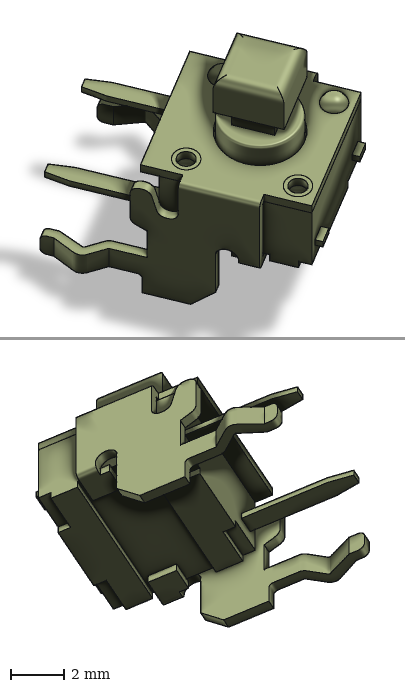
import cadquery as cq
import math


sheet = 0.4
bend_radius = 0.25

housing_side = 6.01
housing_half = housing_side / 2
housing_height = 2.9
pad_drop = 0.34
rib_width = 2.86
pad_inner_x = 1.34
pad_outer_x = 2.48

terminal_pitch = 4.5
terminal_width = 0.72
terminal_thickness = 0.3
terminal_top_z = -1.92
terminal_tip_x = -7.69
terminal_taper_x = -6.65
terminal_tip_width = 0.42
terminal_end_x = 3.31

peg_offset = 2.2
peg_diameter = 1.1
dome_height = 0.41
peg_hole_diameter = 0.75
peg_hole_depth = 0.4
peg_hole_cup = 0.26

collar_diameter = 3.35
collar_height = 1.33
collar_fillet = 0.14
stem_side = 1.69
cap_side = 2.79
cap_bottom_z = 2.42
cap_top_z = 4.25
cap_fillet = 0.5

plate_left_x = -3.74
plate_hole_diameter = 3.5

wall_outer_y = 3.55
wall_inner_y = wall_outer_y - sheet
wall_left_x = -3.97
flange_left_x = -2.08
flange_right_x = 1.12
hook_top_z = -0.31
hook_right_x = -3.19
hook_radius = 0.4
slot_left_x = -2.85
slot_bottom_z = -1.61
hook_bottom_z = -2.28
neck_left_x = -3.3
neck_top_z = -2.58

arm_top_z = -4.07
arm_bottom_z = -5.09
arm_tip_x = -7.48
arm_tip_radius = 0.29
leg_left_x = -3.5
leg_corner_radius = 0.2
leg_bottom_z = -6.1
leg_chamfer_x = -1.58
leg_right_x = -0.6

arm_peak_x = -5.73
arm_outer_root_x = -4.81
arm_inner_root_x = -4.94
arm_root_radius = 0.44
arm_outer_foot_x = -6.93
arm_inner_foot_x = -6.83
arm_tip_inner_y = 3.29
arm_tip_outer_y = arm_tip_inner_y + sheet
arm_peak_outer_y = 4.29
arm_peak_inner_y = 3.8
arm_peak_radius = 0.5

tab_left_x = -0.1
tab_inner_y = 2.2
relief_width = 0.9
relief_center_z = -3.01


def block(x0, x1, y0, y1, z0, z1):
    """Axis-aligned box between the given limits."""
    return cq.Workplane("XY").box(x1 - x0, y1 - y0, z1 - z0, centered=False).translate((x0, y0, z0))


def rounded_outline(plane, corners):
    """Closed outline through (u, v, radius) corners; radius 0 keeps the corner sharp."""
    stretches = []
    for i, (u, v, radius) in enumerate(corners):
        corner = cq.Vector(u, v)
        if radius == 0:
            stretches.append([corner])
            continue
        before = cq.Vector(*corners[i - 1][:2])
        after = cq.Vector(*corners[(i + 1) % len(corners)][:2])
        to_before = (before - corner).normalized()
        to_after = (after - corner).normalized()
        half_angle = to_before.getAngle(to_after) / 2
        setback = radius / math.tan(half_angle)
        bulge = radius / math.sin(half_angle) - radius
        middle = corner + (to_before + to_after).normalized() * bulge
        stretches.append([corner + to_before * setback, middle, corner + to_after * setback])

    def flat(point):
        return (point.x, point.y)

    outline = cq.Workplane(plane).moveTo(*flat(stretches[0][-1]))
    for stretch in stretches[1:] + stretches[:1]:
        outline = outline.lineTo(*flat(stretch[0]))
        if len(stretch) == 3:
            outline = outline.threePointArc(flat(stretch[1]), flat(stretch[2]))
    return outline.close()


def both_sides(half):
    """The -Y copy of a shape together with the +Y original."""
    return half.union(half.mirror("XZ"))


def make_terminal():
    half_width = terminal_width / 2
    half_tip = terminal_tip_width / 2
    return (
        cq.Workplane("XY", origin=(0, terminal_pitch / 2, terminal_top_z))
        .polyline([
            (terminal_end_x, -half_width),
            (terminal_end_x, half_width),
            (terminal_taper_x, half_width),
            (terminal_tip_x, half_tip),
            (terminal_tip_x, -half_tip),
            (terminal_taper_x, -half_width),
        ])
        .close()
        .extrude(-terminal_thickness)
    )


def round_ended_bar(radius, straight, bulge):
    """Round bar on Z from 0 to the height of its straight part, closed by a spherical cap."""
    ball_radius = (radius ** 2 + bulge ** 2) / (2 * bulge)
    top = straight + bulge
    arc_x = radius / 2
    arc_z = top - ball_radius + math.sqrt(ball_radius ** 2 - arc_x ** 2)
    return (
        cq.Workplane("XZ")
        .lineTo(radius, 0)
        .lineTo(radius, straight)
        .threePointArc((arc_x, arc_z), (0, top))
        .close()
        .revolve(360, (0, 0), (0, 1))
    )


def make_peg():
    return cq.Workplane("XY").circle(peg_diameter / 2).extrude(sheet)


def make_domed_peg():
    return round_ended_bar(peg_diameter / 2, sheet, dome_height)


def make_peg_hole():
    """Blind hole starting at the top of a peg, with a rounded bottom."""
    hole = round_ended_bar(peg_hole_diameter / 2, peg_hole_depth, peg_hole_cup)
    return hole.mirror("XY").translate((0, 0, sheet))


def make_housing():
    underside_z = -housing_height
    pad_z = underside_z - pad_drop
    body = block(-housing_half, housing_half, -housing_half, housing_half, underside_z, 0)
    pad = block(pad_inner_x, pad_outer_x, -housing_half, housing_half, pad_z, underside_z)
    rib = block(pad_outer_x, housing_half, -rib_width / 2, rib_width / 2, pad_z, underside_z)
    foot = pad.union(rib)
    body = body.union(foot).union(foot.mirror("YZ"))
    body = body.union(both_sides(make_terminal()))
    for x in (-peg_offset, peg_offset):
        body = body.union(make_domed_peg().translate((x, peg_offset, 0)))
        body = body.union(make_peg().translate((x, -peg_offset, 0)))
        body = body.cut(make_peg_hole().translate((x, -peg_offset, 0)))
    return body


def make_plate():
    plate = block(plate_left_x, housing_half, -housing_half, housing_half, 0, sheet)
    button_hole = cq.Workplane("XY").circle(plate_hole_diameter / 2).extrude(sheet)
    peg_holes = (
        cq.Workplane("XY")
        .rect(2 * peg_offset, 2 * peg_offset, forConstruction=True)
        .vertices()
        .circle(peg_diameter / 2)
        .extrude(sheet)
    )
    return plate.cut(button_hole).cut(peg_holes)


def make_side_sheet():
    """Wall, leg and snap arm on +Y: side outline intersected with the bent plan outline."""
    side = rounded_outline("XZ", [
        (flange_right_x, 0, 0),
        (flange_right_x, -housing_height, 0),
        (leg_right_x, -housing_height, 0),
        (leg_right_x, arm_bottom_z, 0),
        (leg_chamfer_x, leg_bottom_z, 0),
        (leg_left_x, leg_bottom_z, 0),
        (leg_left_x, arm_bottom_z, leg_corner_radius),
        (arm_tip_x, arm_bottom_z, arm_tip_radius),
        (arm_tip_x, arm_top_z, arm_tip_radius),
        (neck_left_x, arm_top_z, 0),
        (neck_left_x, neck_top_z, 0),
        (wall_left_x, hook_bottom_z, hook_radius),
        (wall_left_x, hook_top_z, hook_radius),
        (hook_right_x, hook_top_z, hook_radius),
        (slot_left_x, slot_bottom_z, hook_radius),
        (flange_left_x, slot_bottom_z, hook_radius),
        (flange_left_x, 0, 0),
    ]).extrude(-arm_peak_outer_y)
    plan = rounded_outline("XY", [
        (flange_right_x, wall_inner_y, 0),
        (flange_right_x, wall_outer_y, 0),
        (arm_outer_root_x, wall_outer_y, 0),
        (arm_peak_x, arm_peak_outer_y, arm_peak_radius),
        (arm_outer_foot_x, arm_tip_outer_y, 0),
        (arm_tip_x, arm_tip_outer_y, 0),
        (arm_tip_x, arm_tip_inner_y, 0),
        (arm_inner_foot_x, arm_tip_inner_y, 0),
        (arm_peak_x, arm_peak_inner_y, arm_peak_radius - sheet),
        (arm_inner_root_x, wall_inner_y, arm_root_radius),
    ]).extrude(leg_bottom_z)
    return side.intersect(plan)


def make_flange():
    """Bend from the plate into the +Y wall."""
    flange = block(flange_left_x, flange_right_x, housing_half, wall_outer_y, 0, sheet)
    return flange.edges(">Z and >Y").fillet(bend_radius)


def make_tab():
    """Bend from the +Y wall inwards under the housing."""
    tab_top_z = -housing_height
    tab = block(tab_left_x, flange_right_x, tab_inner_y, wall_outer_y, tab_top_z - sheet, tab_top_z)
    return tab.edges("<Z and >Y").fillet(bend_radius)


def make_relief():
    """Round-topped cut freeing the tab bend from the leg."""
    radius = relief_width / 2
    center_x = leg_right_x + radius
    round_top = (
        cq.Workplane("XZ", origin=(center_x, wall_inner_y, relief_center_z))
        .circle(radius)
        .extrude(-sheet)
    )
    lower_z = -housing_height - sheet
    lower = block(leg_right_x, leg_right_x + relief_width, wall_inner_y, wall_outer_y,
                  lower_z, relief_center_z)
    return round_top.union(lower)


def make_frame():
    side = make_side_sheet().union(make_flange()).union(make_tab()).cut(make_relief())
    return make_plate().union(both_sides(side))


def make_button():
    collar = (
        cq.Workplane("XY")
        .circle(collar_diameter / 2)
        .extrude(collar_height)
        .faces(">Z")
        .edges()
        .fillet(collar_fillet)
    )
    stem = cq.Workplane("XY").rect(stem_side, stem_side).extrude(cap_bottom_z)
    cap = (
        cq.Workplane("XY", origin=(0, 0, cap_bottom_z))
        .rect(cap_side, cap_side)
        .extrude(cap_top_z - cap_bottom_z)
        .faces(">Z")
        .edges()
        .fillet(cap_fillet)
    )
    return collar.union(stem).union(cap)


housing = make_housing()
frame = make_frame()
button = make_button()

result = cq.Compound.makeCompound([
    housing.solids().val(),
    frame.solids().val(),
    button.solids().val(),
])